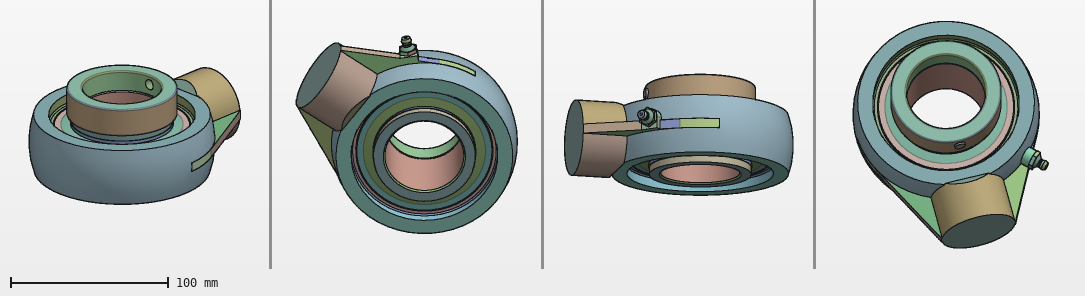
import cadquery as cq
import math


overall_length = 141.6

housing_dia = 118.0
housing_height = 37.4
housing_bore_dia = 92.7
lip_top_z = 12.9

boss_dia = 47.9
boss_end_y = overall_length - housing_dia / 2
boss_foot_y = 53.2
boss_root_y = 48.1
boss_axis_z = -0.4
web_dia = 118.1
web_top_width = 48.4
web_thickness = 6.0
web_low_y = 2.8

ring_face_dia = 90.9
ring_half_width = 11.9
shield_outer_dia = 87.0
shield_fold_dia = 77.5
shield_thickness = 1.7
shield_edge_chamfer = 0.7
shield_rise = 0.7

bore_dia = 50.0
inner_ring_dia = 64.5
inner_land_dia = 65.3
inner_land_half_width = 14.7
inner_half_width = 19.3
neck_dia = 59.3
neck_top_z = 24.0
bore_chamfer = 1.0

collar_dia = 70.0
collar_top_z = 37.5
collar_round = 0.7
collar_bore_round = 1.0
screw_dia = 6.8
screw_z = 31.3
screw_inner_y = 30.5
screw_outer_y = 36.2

nipple_angle = 135.0
nipple_z = 4.0
pad_width = 11.8
pad_face_radius = 63.9
pad_root_radius = 52.4
hex_flats = 10.8
hex_thickness = 2.5
cone_base_dia = 9.9
cone_top_dia = 5.7
groove_dia = 5.0
groove_start = 3.0
groove_end = 3.7
head_crest = 5.4
spout_length = 7.4
head_back_dia = 5.5
head_dia = 6.5
tip_dia = 5.1
ball_dia = 2.3
ball_projection = 0.4

housing_r = housing_dia / 2
housing_bore_r = housing_bore_dia / 2
half_height = housing_height / 2
ring_face_r = ring_face_dia / 2
seat_r = math.hypot(ring_face_r, ring_half_width)
bore_r = bore_dia / 2
boss_r = boss_dia / 2


def make_revolved(points):
    """Solid of revolution about Z from (radius, z) points."""
    return cq.Workplane("XZ").polyline(points).close().revolve(360, (0, 0, 0), (0, 1, 0))


def make_disc(dia, z_low, z_high):
    return cq.Workplane("XY").workplane(offset=z_low).circle(dia / 2).extrude(z_high - z_low)


def nipple_plane(radius):
    """Work plane facing outward along the nipple axis, local Y along Z."""
    angle = math.radians(nipple_angle)
    outward = cq.Vector(math.cos(angle), math.sin(angle), 0)
    origin = outward * radius + cq.Vector(0, 0, nipple_z)
    return cq.Plane(origin=origin, xDir=cq.Vector(-outward.y, outward.x, 0), normal=outward)


def make_boss():
    """Round boss along Y, trimmed at 45 degrees down to the housing faces."""
    boss = (
        cq.Workplane("XZ", origin=(0, boss_end_y, boss_axis_z))
        .circle(boss_r)
        .extrude(boss_end_y - boss_root_y)
    )
    reach = boss_dia
    slope_y = boss_foot_y + reach - half_height
    side = [
        (boss_root_y, half_height), (boss_foot_y, half_height), (slope_y, reach), (boss_end_y, reach),
        (boss_end_y, -reach), (slope_y, -reach), (boss_foot_y, -half_height), (boss_root_y, -half_height),
    ]
    envelope = cq.Workplane("YZ").polyline(side).close().extrude(boss_r, both=True)
    return boss.intersect(envelope)


def make_web():
    """Flat web from the boss end, tangent to the housing on both sides."""
    web_r = web_dia / 2
    corner_x = web_top_width / 2
    corner_distance = math.hypot(corner_x, boss_end_y)
    tangent_angle = math.atan2(boss_end_y, corner_x) - math.acos(web_r / corner_distance)
    low_angle = math.asin(web_low_y / web_r)

    def rim(angle, side):
        return (side * web_r * math.cos(angle), web_r * math.sin(angle))

    middle_angle = (tangent_angle + low_angle) / 2
    return (
        cq.Workplane("XY", origin=(0, 0, boss_axis_z))
        .moveTo(corner_x, boss_end_y)
        .lineTo(*rim(tangent_angle, 1))
        .threePointArc(rim(middle_angle, 1), rim(low_angle, 1))
        .lineTo(*rim(low_angle, -1))
        .threePointArc(rim(middle_angle, -1), rim(tangent_angle, -1))
        .lineTo(-corner_x, boss_end_y)
        .close()
        .extrude(web_thickness / 2, both=True)
    )


def make_nipple_pad():
    """Pad with a round top whose straight sides run down to the web's lower face."""
    drop = nipple_z - boss_axis_z + web_thickness / 2
    half = pad_width / 2
    return (
        cq.Workplane(nipple_plane(pad_root_radius))
        .moveTo(-half, -drop)
        .lineTo(half, -drop)
        .lineTo(half, 0)
        .threePointArc((0, half), (-half, 0))
        .close()
        .extrude(pad_face_radius - pad_root_radius)
    )


def make_housing():
    slab = make_disc(2 * housing_dia, -half_height, half_height)
    body = cq.Workplane("XY").sphere(housing_r).intersect(slab)
    body = body.union(make_boss()).union(make_web()).union(make_nipple_pad())
    opening = [
        (0, -half_height), (housing_bore_r, -half_height), (housing_bore_r, -lip_top_z),
        (ring_face_r, -ring_half_width), (ring_face_r, ring_half_width),
        (housing_bore_r, lip_top_z), (housing_bore_r, half_height), (0, half_height),
    ]
    seat_band = make_disc(2 * seat_r, -ring_half_width, ring_half_width)
    seat = cq.Workplane("XY").sphere(seat_r).intersect(seat_band)
    return body.cut(make_revolved(opening)).cut(seat)


def make_outer_ring():
    band = make_disc(2 * seat_r, -ring_half_width, ring_half_width)
    ring = cq.Workplane("XY").sphere(seat_r).intersect(band)
    return ring.cut(make_disc(shield_outer_dia, -ring_half_width, ring_half_width))


def make_shield(side):
    """Shield closing the gap between the rings; side is 1 for the top, -1 for the bottom."""
    inner_r = inner_land_dia / 2
    outer_r = shield_outer_dia / 2
    low = ring_half_width - shield_thickness
    profile = [
        (inner_r, low),
        (outer_r, low),
        (outer_r, ring_half_width - shield_edge_chamfer),
        (outer_r - shield_edge_chamfer, ring_half_width),
        (shield_fold_dia / 2, ring_half_width),
        (inner_r, ring_half_width + shield_rise),
    ]
    return make_revolved([(r, side * z) for r, z in profile])


def make_inner_ring():
    ring_r = inner_ring_dia / 2
    land_r = inner_land_dia / 2
    neck_r = neck_dia / 2
    profile = [
        (bore_r, neck_top_z - bore_chamfer),
        (bore_r + bore_chamfer, neck_top_z),
        (neck_r, neck_top_z),
        (neck_r, inner_half_width),
        (ring_r, inner_half_width),
        (ring_r, inner_land_half_width),
        (land_r, inner_land_half_width),
        (land_r, -inner_land_half_width),
        (ring_r, -inner_land_half_width),
        (ring_r, -inner_half_width),
        (bore_r + bore_chamfer, -inner_half_width),
        (bore_r, -inner_half_width + bore_chamfer),
    ]
    return make_revolved(profile)


def make_collar():
    collar = make_disc(collar_dia, inner_half_width, collar_top_z).edges().fillet(collar_round)
    collar = collar.cut(make_disc(bore_dia, inner_half_width, collar_top_z))
    bore_rim = cq.selectors.RadiusNthSelector(0)
    collar = collar.faces(">Z").edges(bore_rim).fillet(collar_bore_round)
    collar = collar.cut(make_disc(neck_dia, inner_half_width, neck_top_z))
    screw_hole = (
        cq.Workplane("XZ", origin=(0, 0, screw_z)).circle(screw_dia / 2).extrude(-collar_dia / 2)
    )
    return collar.cut(screw_hole)


def make_set_screw():
    return (
        cq.Workplane("XZ", origin=(0, screw_inner_y, screw_z))
        .circle(screw_dia / 2)
        .extrude(screw_inner_y - screw_outer_y)
    )


def make_grease_nipple():
    plane = nipple_plane(pad_face_radius)
    hex_corners = hex_flats / math.cos(math.radians(30))
    nipple = cq.Workplane(plane).transformed(rotate=(0, 0, 90)).polygon(6, hex_corners).extrude(hex_thickness)
    cone_length = (cone_base_dia - cone_top_dia) / 2
    profile = [
        (0, 0),
        (cone_base_dia / 2, 0),
        (cone_top_dia / 2, cone_length),
        (cone_top_dia / 2, groove_start),
        (groove_dia / 2, groove_start),
        (groove_dia / 2, groove_end),
        (head_back_dia / 2, groove_end),
        (head_dia / 2, head_crest),
        (tip_dia / 2, spout_length),
        (0, spout_length),
    ]
    spout = (
        cq.Workplane(cq.Plane(plane.origin, plane.xDir, cq.Vector(0, 0, -1)))
        .polyline([(r, z + hex_thickness) for r, z in profile])
        .close()
        .revolve(360, (0, 0, 0), (0, 1, 0))
    )
    ball_r = ball_dia / 2
    ball_offset = hex_thickness + spout_length + ball_projection - ball_r
    ball = cq.Workplane(plane).workplane(offset=ball_offset).sphere(ball_r)
    return nipple.union(spout).union(ball)


housing = make_housing()
outer_ring = make_outer_ring()
inner_ring = make_inner_ring()
collar = make_collar()
set_screw = make_set_screw()
grease_nipple = make_grease_nipple()
shields = [make_shield(side) for side in (1, -1)]

result = cq.Compound.makeCompound([
    housing.val(),
    outer_ring.val(),
    inner_ring.val(),
    collar.val(),
    set_screw.val(),
    grease_nipple.val(),
    *[shield.val() for shield in shields],
])